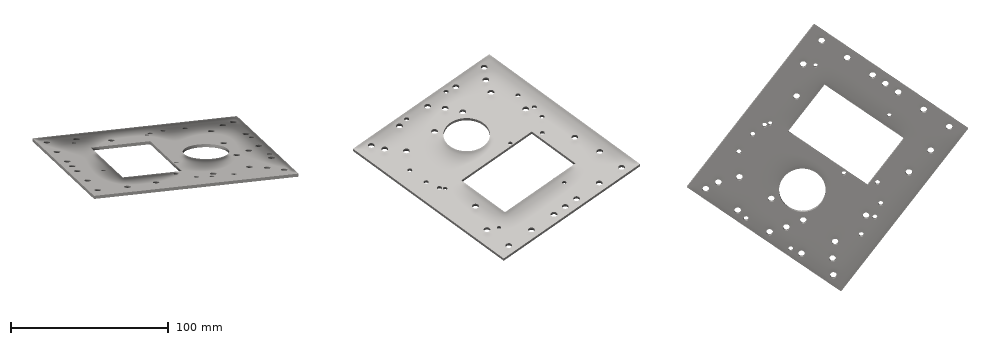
import cadquery as cq

plate_width = 120.8
plate_length = 137.0
plate_thickness = 2.0

large_diameter = 4.2
medium_diameter = 3.2
small_diameter = 2.7

round_opening_diameter = 29.6
round_opening_y = 27.1
window_width = 62.5
window_height = 39.7
window_x = 0.3
window_y = -19.6

edge_x = 50.0
edge_y = 62.5
top_pitch = edge_x / 2
bottom_inner_x = 10.0
bottom_outer_x = 30.0
lower_side_y = -42.6

inner_row_y = 43.4

square_side = 36.2
square_right_x = 42.9
square_top_y = 53.5
upper_left_hole = (-46.2, 54.3)
window_left_hole = (-40.5, -22.5)
window_right_hole = (47.5, -22.5)

top_pair_x = 17.5
top_pair_y = 63.7
side_x = 48.0
side_upper_y = 29.6
side_lower_y = 14.8
shoulder_x = 45.5
shoulder_y = 5.2
window_corner_hole = (35.5, -5.2)

small_pattern_width = 57.8
small_pattern_height = 48.9
small_pattern_x = -14.4
small_pattern_y = -22.2


def mirrored(x, y):
    """Two points placed symmetrically about the plate's long centreline."""
    return [(-x, y), (x, y)]


def drill(plate, points, diameter):
    """Cut through holes of one diameter at the given points."""
    cutters = (
        cq.Workplane("XY")
        .workplane(offset=-plate_thickness)
        .pushPoints(points)
        .circle(diameter / 2)
        .extrude(2 * plate_thickness)
    )
    return plate.cut(cutters)


def large_points():
    points = [(0, edge_y), (0, -edge_y)]
    for x in (top_pitch, edge_x):
        points += mirrored(x, edge_y)
    for x in (bottom_inner_x, bottom_outer_x, edge_x):
        points += mirrored(x, -edge_y)
    points += mirrored(edge_x, lower_side_y)
    for x in (top_pitch / 2, 1.5 * top_pitch):
        points += mirrored(x, inner_row_y)
    points += [
        (square_right_x - square_side, square_top_y),
        (square_right_x, square_top_y),
        (square_right_x, square_top_y - square_side),
    ]
    points += [upper_left_hole, window_left_hole, window_right_hole]
    return points


def medium_points():
    points = [window_corner_hole]
    points += mirrored(side_x, side_upper_y)
    points += mirrored(side_x, side_lower_y)
    points += mirrored(shoulder_x, shoulder_y)
    points += mirrored(top_pair_x, top_pair_y)
    return points


def small_points():
    return [
        (small_pattern_x + i * small_pattern_width / 2, small_pattern_y + j * small_pattern_height / 2)
        for i in (-1, 1)
        for j in (-1, 1)
    ]


plate = cq.Workplane("XY").box(plate_width, plate_length, plate_thickness)

window = (
    cq.Workplane("XY")
    .center(window_x, window_y)
    .rect(window_width, window_height)
    .extrude(plate_thickness, both=True)
)
plate = plate.cut(window)

plate = drill(plate, [(0, round_opening_y)], round_opening_diameter)
plate = drill(plate, large_points(), large_diameter)
plate = drill(plate, medium_points(), medium_diameter)
plate = drill(plate, small_points(), small_diameter)

result = plate